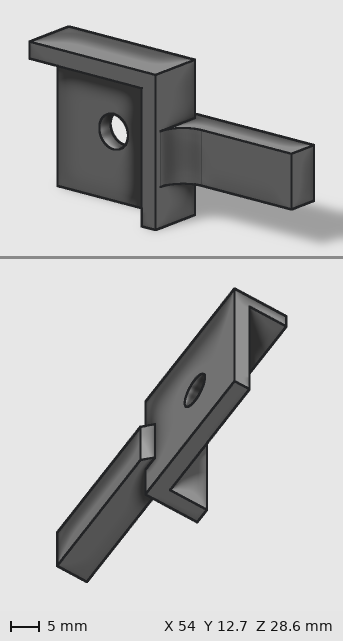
import cadquery as cq

length = 54.0
plate_side = 28.55
bracket_depth = 10.8
wall = 3.15
hole_diameter = 6.5

arm_height = 10.25
arm_thickness = 6.2
arm_step = 1.85
fillet_radius = 5.15

opening = plate_side - wall
opening_center = opening / 2
arm_back = bracket_depth + arm_step
arm_front = arm_back - arm_thickness
arm_bottom = opening_center - arm_height / 2


def make_bracket():
    block = cq.Workplane("XY").box(plate_side, bracket_depth, plate_side, centered=False)
    recess = cq.Workplane("XY").box(opening, bracket_depth - wall, opening, centered=False)
    return block.cut(recess)


def make_arm():
    return (
        cq.Workplane("XY", origin=(0, 0, arm_bottom))
        .moveTo(opening, bracket_depth)
        .lineTo(opening + arm_step, arm_back)
        .lineTo(length, arm_back)
        .lineTo(length, arm_front)
        .lineTo(plate_side + fillet_radius, arm_front)
        .radiusArc((plate_side, arm_front - fillet_radius), -fillet_radius)
        .lineTo(opening, arm_front - fillet_radius)
        .close()
        .extrude(arm_height)
    )


def make_hole():
    return (
        cq.Workplane("XZ")
        .center(opening_center, opening_center)
        .circle(hole_diameter / 2)
        .extrude(-bracket_depth)
    )


result = make_bracket().union(make_arm()).cut(make_hole())